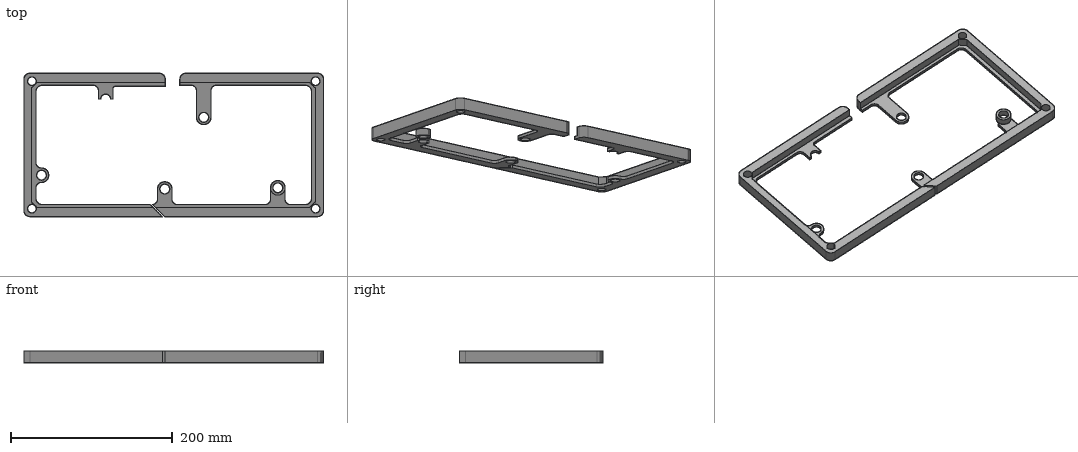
import cadquery as cq

LENGTH = 371.0
WIDTH = 177.5
HEIGHT = 15.0
CORNER_RADIUS = 7.8

LEFT_WALL = 9.3
RIGHT_WALL = 10.5
LONG_WALL = 11.5
INNER_CHAMFER = 7.0

LEDGE_HEIGHT = 3.7
LEDGE_REACH = 15.2
OPENING_RADIUS = 7.5
WIDE_LEDGE_REACH = 16.5

CORNER_HOLE = 10.5
CORNER_HOLE_INSET = 10.0

TAB_WIDTH = 18.0
TAB_HOLE = 12.0
TAB_FILLET = 6.3
SMALL_FILLET = 3.5
LEFT_TAB = (-163.5, -37.5)
MIDDLE_TAB = (-11.0, -54.5)
LONG_TAB = (37.0, 34.0)
SLEEVE_TAB = (128.5, -53.0)
SLEEVE_HEIGHT = 8.5
HALF_HOLE_TAB = (-84.0, 56.7)

GAP_LEFT = -10.5
GAP_RIGHT = 7.5
GAP_CORNER_RADIUS = 7.8
MITRE_LEFT = -14.0
MITRE_RIGHT = -11.0

HALF_LENGTH = LENGTH / 2
HALF_WIDTH = WIDTH / 2
OPENING_X = HALF_LENGTH - LEDGE_REACH
OPENING_Y = HALF_WIDTH - LEDGE_REACH
WIDE_LEDGE_Y = HALF_WIDTH - WIDE_LEDGE_REACH


def block(x0, x1, y0, y1, height):
    """Block between two X and two Y limits, standing on Z = 0."""
    return cq.Workplane("XY").box(x1 - x0, y1 - y0, height, centered=False).translate((x0, y0, 0))


def cylinder(center, diameter, height):
    return cq.Workplane("XY").center(*center).circle(diameter / 2).extrude(height)


def root_fillet(x, y, x_sign, y_sign, radius):
    """Concave fillet in the corner (x, y), spreading along the two signed directions."""
    return (
        cq.Workplane("XY")
        .moveTo(x, y)
        .lineTo(x + x_sign * radius, y)
        .radiusArc((x, y + y_sign * radius), x_sign * y_sign * radius)
        .close()
        .extrude(LEDGE_HEIGHT)
    )


def upright_tab(center, ledge_sign, round_end=True, right_fillet=TAB_FILLET,
                right_ledge=OPENING_Y):
    """Tab running along Y from a long ledge (ledge_sign -1 or 1) to its hole center."""
    x, y = center
    half_tab = TAB_WIDTH / 2
    root = ledge_sign * OPENING_Y
    wall = ledge_sign * (HALF_WIDTH - LONG_WALL)
    tab = block(x - half_tab, x + half_tab, min(y, wall), max(y, wall), LEDGE_HEIGHT)
    tab = tab.union(root_fillet(x - half_tab, root, -1, -ledge_sign, TAB_FILLET))
    right_root = ledge_sign * right_ledge
    tab = tab.union(root_fillet(x + half_tab, right_root, 1, -ledge_sign, right_fillet))
    if round_end:
        tab = tab.union(cylinder(center, TAB_WIDTH, LEDGE_HEIGHT))
    return tab


def side_tab(center):
    """Tab running along X from the left ledge to its hole center."""
    x, y = center
    half_tab = TAB_WIDTH / 2
    tab = block(-HALF_LENGTH + LEFT_WALL, x, y - half_tab, y + half_tab, LEDGE_HEIGHT)
    tab = tab.union(cylinder(center, TAB_WIDTH, LEDGE_HEIGHT))
    for sign in (-1, 1):
        tab = tab.union(root_fillet(-OPENING_X, y + sign * half_tab, 1, sign, TAB_FILLET))
    return tab


def full_frame():
    """Closed frame with wall, ledge and corner holes, before it is split."""
    frame = block(-HALF_LENGTH, HALF_LENGTH, -HALF_WIDTH, HALF_WIDTH, HEIGHT)
    frame = frame.edges("|Z").fillet(CORNER_RADIUS)
    opening = block(-OPENING_X, OPENING_X, -OPENING_Y, OPENING_Y, HEIGHT)
    frame = frame.cut(opening.edges("|Z").fillet(OPENING_RADIUS))
    wall_y = HALF_WIDTH - LONG_WALL
    recess = block(-HALF_LENGTH + LEFT_WALL, HALF_LENGTH - RIGHT_WALL, -wall_y, wall_y, HEIGHT)
    recess = recess.edges("|Z").chamfer(INNER_CHAMFER).translate((0, 0, LEDGE_HEIGHT))
    frame = frame.cut(recess)
    for x_sign in (-1, 1):
        for y_sign in (-1, 1):
            hole_x = x_sign * (HALF_LENGTH - CORNER_HOLE_INSET)
            hole_y = y_sign * (HALF_WIDTH - CORNER_HOLE_INSET)
            frame = frame.cut(cylinder((hole_x, hole_y), CORNER_HOLE, HEIGHT))
    return frame


def half_region(side, gap_x, mitre_x):
    """Region of one half (side -1 or 1): a 45 degree mitre at -Y, a rounded end at the gap."""
    outer_x = side * HALF_LENGTH
    lower = (
        cq.Workplane("XY")
        .polyline([
            (outer_x, -HALF_WIDTH),
            (mitre_x, -HALF_WIDTH),
            (mitre_x - HALF_WIDTH, 0),
            (outer_x, 0),
        ])
        .close()
        .extrude(HEIGHT)
    )
    upper = block(min(outer_x, gap_x), max(outer_x, gap_x), 0, HALF_WIDTH, HEIGHT)
    gap_edge = cq.selectors.NearestToPointSelector((gap_x, HALF_WIDTH, HEIGHT / 2))
    return lower.union(upper.edges("|Z").edges(gap_edge).fillet(GAP_CORNER_RADIUS))


def left_half():
    half_tab_x = HALF_HOLE_TAB[0]
    body = full_frame()
    body = body.union(block(half_tab_x, GAP_LEFT, WIDE_LEDGE_Y, OPENING_Y, LEDGE_HEIGHT))
    body = body.union(side_tab(LEFT_TAB))
    body = body.union(upright_tab(HALF_HOLE_TAB, 1, round_end=False,
                                  right_fillet=SMALL_FILLET, right_ledge=WIDE_LEDGE_Y))
    for center in (LEFT_TAB, HALF_HOLE_TAB):
        body = body.cut(cylinder(center, TAB_HOLE, LEDGE_HEIGHT))
    return body.intersect(half_region(-1, GAP_LEFT, MITRE_LEFT))


def right_half():
    body = full_frame()
    body = body.union(upright_tab(MIDDLE_TAB, -1))
    body = body.union(upright_tab(LONG_TAB, 1))
    body = body.union(upright_tab(SLEEVE_TAB, -1, round_end=False))
    for center in (MIDDLE_TAB, LONG_TAB, SLEEVE_TAB):
        body = body.cut(cylinder(center, TAB_HOLE, LEDGE_HEIGHT))
    return body.intersect(half_region(1, GAP_RIGHT, MITRE_RIGHT))


def sleeve():
    """Separate ring above the half-hole tab of the right half, flush with the frame top."""
    ring = cylinder(SLEEVE_TAB, TAB_WIDTH, SLEEVE_HEIGHT)
    ring = ring.cut(cylinder(SLEEVE_TAB, TAB_HOLE, SLEEVE_HEIGHT))
    return ring.translate((0, 0, HEIGHT - SLEEVE_HEIGHT))


bodies = [left_half(), right_half(), sleeve()]
result = cq.Compound.makeCompound([solid for body in bodies for solid in body.solids().vals()])